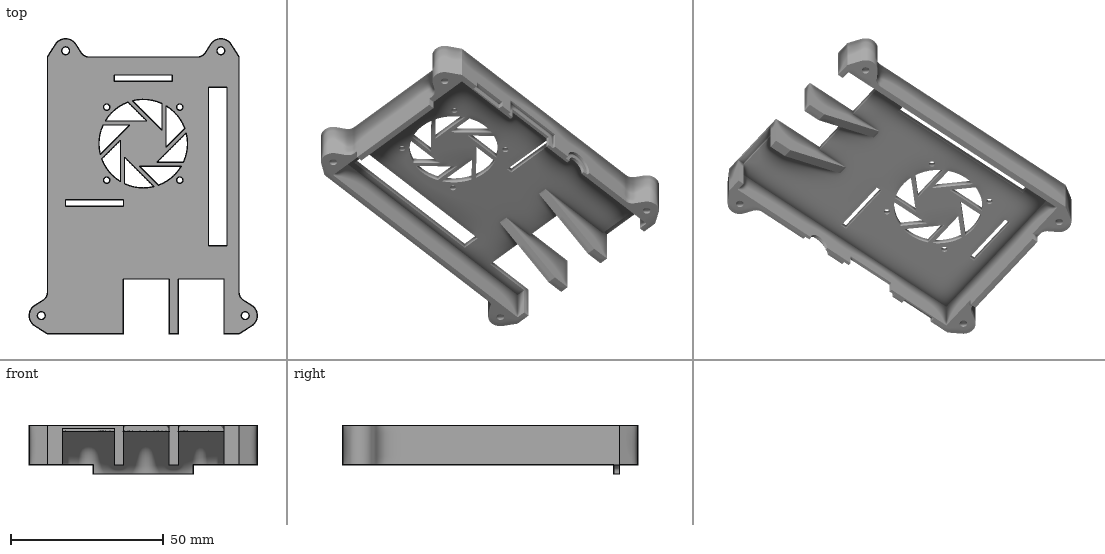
import cadquery as cq
import math

body_width = 63.0
body_length = 91.0
shell_height = 13.0
plate_thickness = 2.0
wall = 2.0
half_width = body_width / 2
ceiling = shell_height - plate_thickness

lug_radius = 4.0
lug_fillet = 3.0
lug_hole_diameter = 2.5
lug_inset = 6.0
lug_overhang = 2.0

tongue_width = 33.0
tongue_drop = 3.0

port_left = -26.5
port_width = 17.0
port_top = shell_height - 1.0
bay_width = 15.0
bay_depth = 18.0
divider_width = 3.0
first_divider_left = port_left + port_width
first_bay_left = first_divider_left + divider_width
second_divider_left = first_bay_left + bay_width
second_bay_left = second_divider_left + divider_width

gusset_foot_length = 6.0
gusset_length = 29.0

port_recess_depth = 1.0
small_port_center_y = 78.0
small_port_width = 12.0
small_port_height = 2.0
small_port_depth = 1.5
large_port_center_y = 57.6
large_port_width = 17.0
large_port_height = 4.0
large_port_border = 2.0
jack_center_y = 36.0
jack_diameter = 6.8
jack_recess_diameter = 10.0

fan_center_y = 62.5
fan_diameter = 29.0
fan_screw_pitch = 24.0
fan_screw_diameter = 2.0
vane_count = 8
vane_outer_offset = 7.5
vane_thickness = 1.42

strap_slot_length = 19.0
strap_slot_width = 2.0
back_slot_left = -strap_slot_length / 2
back_slot_front = 83.0
side_slot_left = -25.5
side_slot_front = 42.0
header_slot_left = 21.5
header_slot_front = 29.0
header_slot_width = 6.0
header_slot_length = 52.0


def block(x, y, z, size_x, size_y, size_z):
    """Box given by its lowest corner and its sizes."""
    return cq.Workplane("XY").box(size_x, size_y, size_z, centered=False).translate((x, y, z))


def plate_cut(x, y, size_x, size_y):
    """Rectangular cutter through the top plate."""
    return block(x, y, ceiling, size_x, size_y, plate_thickness)


def lug():
    """Right back lug: two tangents from the back edge to a round tip, the inner one blended into the edge."""
    to_corner = math.hypot(lug_inset, lug_overhang)
    angle_to_corner = math.atan2(-lug_overhang, lug_inset)
    tangent_angle = angle_to_corner + math.acos(lug_radius / to_corner)
    tangent_x = lug_radius * math.cos(tangent_angle)
    tangent_y = lug_radius * math.sin(tangent_angle)
    flank_angle = math.pi / 2 - tangent_angle
    blend_run = lug_fillet * math.tan(flank_angle / 2)
    blend_start_x = lug_inset - blend_run * math.cos(flank_angle)
    blend_start_y = -lug_overhang + blend_run * math.sin(flank_angle)
    foot_x = lug_inset + blend_run
    outline = (
        cq.Workplane("XY")
        .moveTo(lug_inset, -lug_overhang)
        .lineTo(tangent_x, tangent_y)
        .threePointArc((0, lug_radius), (-tangent_x, tangent_y))
        .lineTo(-blend_start_x, blend_start_y)
        .radiusArc((-foot_x, -lug_overhang), lug_fillet)
        .lineTo(-foot_x, -lug_overhang - wall)
        .lineTo(lug_inset, -lug_overhang - wall)
        .close()
    )
    solid = outline.extrude(shell_height)
    hole = cq.Workplane("XY").circle(lug_hole_diameter / 2).extrude(shell_height)
    return solid.cut(hole)


def lugs():
    """All four lugs: the back pair points to +Y, the front pair points sideways."""
    back = lug().translate((half_width - lug_inset, body_length + lug_overhang, 0))
    sideways_lug = lug().rotate((0, 0, 0), (0, 0, 1), -90)
    front = sideways_lug.translate((half_width + lug_overhang, lug_inset, 0))
    right_pair = back.union(front)
    return right_pair.union(right_pair.mirror("YZ"))


def shell():
    """Plate with four walls, the lugs and the tongue under the back wall."""
    outer = block(-half_width, 0, 0, body_width, body_length, shell_height)
    cavity = block(-half_width + wall, wall, 0, body_width - 2 * wall, body_length - 2 * wall, ceiling)
    tongue_height = tongue_drop + ceiling
    tongue = block(-tongue_width / 2, body_length - wall, -tongue_drop, tongue_width, wall, tongue_height)
    return outer.union(lugs()).cut(cavity).union(tongue)


def gusset(left):
    """Divider fin with a short flat foot, sloping up to the plate."""
    profile = [
        (0, 0),
        (gusset_foot_length, 0),
        (gusset_length, ceiling),
        (gusset_length, shell_height),
        (0, shell_height),
    ]
    return cq.Workplane("YZ").polyline(profile).close().extrude(divider_width).translate((left, 0, 0))


def front_openings():
    """One port through the front wall and two bays through wall and plate."""
    cuts = block(port_left, 0, 0, port_width, wall, port_top)
    for left in (first_bay_left, second_bay_left):
        cuts = cuts.union(block(left, 0, 0, bay_width, bay_depth, shell_height))
    return cuts


def side_port(center_y, width, height, depth):
    """Rectangular cutter into the left wall from outside."""
    return block(-half_width, center_y - width / 2, 0, depth, width, height)


def side_jack(diameter, depth):
    """Round cutter into the left wall, centred on the lower rim."""
    disc = cq.Workplane("YZ").circle(diameter / 2).extrude(depth)
    return disc.translate((-half_width, jack_center_y, 0))


def side_openings():
    """Left wall ports: the small one is blind, the large one and the jack have an outer recess."""
    cuts = side_port(small_port_center_y, small_port_width, small_port_height, small_port_depth)
    cuts = cuts.union(side_port(large_port_center_y, large_port_width, large_port_height, wall))
    recess_width = large_port_width + 2 * large_port_border
    recess_height = large_port_height + large_port_border
    cuts = cuts.union(side_port(large_port_center_y, recess_width, recess_height, port_recess_depth))
    cuts = cuts.union(side_jack(jack_diameter, wall))
    return cuts.union(side_jack(jack_recess_diameter, port_recess_depth))


def fan_grille():
    """Openings between the swirled vanes, and the four fan screw holes."""
    vane_inner_offset = vane_outer_offset - vane_thickness
    step = 2 * math.pi / vane_count
    apex_y = (vane_outer_offset * math.cos(step) - vane_inner_offset) / math.sin(step)
    wedge = (
        cq.Workplane("XY")
        .moveTo(vane_outer_offset, apex_y)
        .line(fan_diameter * math.tan(step), fan_diameter)
        .line(-fan_diameter * math.tan(step), 0)
        .close()
        .extrude(plate_thickness)
    )
    opening = wedge.intersect(cq.Workplane("XY").circle(fan_diameter / 2).extrude(plate_thickness))
    cuts = (
        cq.Workplane("XY")
        .rect(fan_screw_pitch, fan_screw_pitch, forConstruction=True)
        .vertices()
        .circle(fan_screw_diameter / 2)
        .extrude(plate_thickness)
    )
    for index in range(vane_count):
        cuts = cuts.union(opening.rotate((0, 0, 0), (0, 0, 1), index * 360 / vane_count))
    return cuts.translate((0, fan_center_y, ceiling))


def plate_slots():
    """Two narrow strap slots and the long header slot."""
    back_slot = plate_cut(back_slot_left, back_slot_front, strap_slot_length, strap_slot_width)
    side_slot = plate_cut(side_slot_left, side_slot_front, strap_slot_length, strap_slot_width)
    header_slot = plate_cut(header_slot_left, header_slot_front, header_slot_width, header_slot_length)
    return back_slot.union(side_slot).union(header_slot)


result = shell().cut(front_openings())
for divider_left in (first_divider_left, second_divider_left):
    result = result.union(gusset(divider_left))
result = result.cut(side_openings()).cut(fan_grille()).cut(plate_slots())